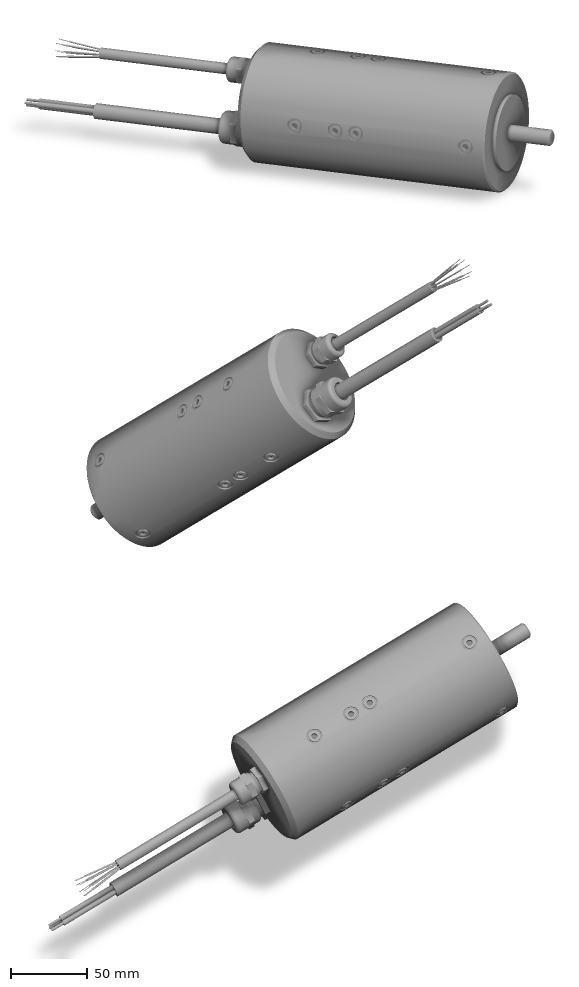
import cadquery as cq
import math


overall_length = 373

housing_dia = 80.0
housing_length = 176.0
rear_chamfer = 3.5
front_chamfer = 1.0
pilot_dia = 50.7
pilot_height = 2.5
shaft_dia = 11.0
shaft_tip = 208.0
shaft_chamfer = 1.0

screw_stations = (41.8, 70.5, 85.0, 163.0)
screws_around = 4
recess_dia = 10.5
recess_depth = 1.0
head_dia = 7.5
socket_dia = 4.0
socket_depth = 2.2

cable_offset = 20.0

locknut_thickness = 3.7
nut_rounding = 2.2
nut_rear_chamfer = 1.0
mouth_depth = 2.2

power_jacket_dia = 10.5
power_jacket_end = -115.3
power_insulation_dia = 3.5
power_insulation_end = -156.0
power_conductor_dia = 1.8
power_conductor_end = shaft_tip - overall_length
power_wire_count = 3
power_wire_circle_radius = 2.05
power_wire_turn = math.radians(50)

signal_jacket_dia = 7.5
signal_jacket_end = -112.0
signal_insulation_dia = 1.0
signal_insulation_end = -134.5
signal_conductor_dia = 0.5
signal_conductor_end = -141.7
signal_wire_count = 8
signal_ring_radius_at_jacket = 2.5
signal_ring_radius_at_tip = 6.5

wire_embed = 1.0


def rod(dia, x_start, x_end, y=0, z=0):
    """Cylinder parallel to X."""
    return cq.Workplane("YZ", origin=(x_start, y, z)).circle(dia / 2).extrude(x_end - x_start)


def slanted_rod(dia, start, end):
    """Cylinder between two points."""
    axis = cq.Vector(*end) - cq.Vector(*start)
    return cq.Workplane(cq.Solid.makeCylinder(dia / 2, axis.Length, cq.Vector(*start), axis))


def hexagon(across_flats, turn, x_start, x_end, z):
    """Hexagonal nut parallel to X; at zero turn one corner points up, a turn leans it towards -Y."""
    corner_dia = across_flats / math.cos(math.pi / 6)
    nut = cq.Workplane("YZ").polygon(6, corner_dia).extrude(x_end - x_start)
    return nut.rotate((0, 0, 0), (1, 0, 0), 90 + turn).translate((x_start, 0, z))


def make_housing():
    body = rod(housing_dia, 0, housing_length)
    body = body.faces("<X").chamfer(rear_chamfer)
    body = body.faces(">X").chamfer(front_chamfer)
    pilot = rod(pilot_dia, 0, housing_length + pilot_height)
    shaft = rod(shaft_dia, 0, shaft_tip).faces(">X").chamfer(shaft_chamfer)
    return body.union(pilot).union(shaft)


def make_screw_recess():
    """Cutter for one screw on the +Z side: a ring around the head and the socket in the head."""
    surface = housing_dia / 2
    plane = cq.Workplane("XY", origin=(0, 0, surface - recess_depth))
    ring = plane.circle(recess_dia / 2).circle(head_dia / 2).extrude(2 * recess_depth)
    plane = cq.Workplane("XY", origin=(0, 0, surface - socket_depth))
    socket = plane.circle(socket_dia / 2).extrude(2 * socket_depth)
    return ring.union(socket)


def cut_screws(body):
    recess = make_screw_recess()
    for x in screw_stations:
        for index in range(screws_around):
            angle = index * 360 / screws_around
            body = body.cut(recess.translate((x, 0, 0)).rotate((0, 0, 0), (1, 0, 0), angle))
    return body


def make_gland(z, nut_dia, nut_start, nut_end, mouth_dia, neck_dia, hex_start, hex_end, turn):
    """Round cap nut with a hexagon collar, on a neck held by a locknut of the same size."""
    nut = rod(nut_dia, nut_start, nut_end, z=z).faces("<X").edges().fillet(nut_rounding)
    nut = nut.faces(">X").chamfer(nut_rear_chamfer)
    nut = nut.cut(rod(mouth_dia, nut_start, nut_start + mouth_depth, z=z))
    collar = hexagon(nut_dia, turn, hex_start, hex_end, z)
    neck = rod(neck_dia, hex_end, 0, z=z)
    locknut = hexagon(nut_dia, turn, -locknut_thickness, 0, z)
    return nut.union(collar).union(neck).union(locknut)


def make_power_cable():
    z_axis = -cable_offset
    cable = rod(power_jacket_dia, power_jacket_end, 0, z=z_axis)
    for index in range(power_wire_count):
        angle = power_wire_turn + index * 2 * math.pi / power_wire_count
        y = power_wire_circle_radius * math.cos(angle)
        z = z_axis + power_wire_circle_radius * math.sin(angle)
        insulation_start = power_jacket_end + wire_embed
        conductor_start = power_insulation_end + wire_embed
        cable = cable.union(rod(power_insulation_dia, power_insulation_end, insulation_start, y, z))
        cable = cable.union(rod(power_conductor_dia, power_conductor_end, conductor_start, y, z))
    return cable


def signal_wire_point(x, angle):
    """Point at X on the axis of the signal wire at the given angle around the fan."""
    spread = (x - signal_jacket_end) / (signal_conductor_end - signal_jacket_end)
    growth = signal_ring_radius_at_tip - signal_ring_radius_at_jacket
    radius = signal_ring_radius_at_jacket + spread * growth
    return (x, radius * math.cos(angle), cable_offset + radius * math.sin(angle))


def make_signal_cable():
    cable = rod(signal_jacket_dia, signal_jacket_end, 0, z=cable_offset)
    for index in range(signal_wire_count):
        angle = index * 2 * math.pi / signal_wire_count
        root = signal_wire_point(signal_jacket_end + wire_embed, angle)
        bared = signal_wire_point(signal_insulation_end, angle)
        buried = signal_wire_point(signal_insulation_end + wire_embed, angle)
        tip = signal_wire_point(signal_conductor_end, angle)
        cable = cable.union(slanted_rod(signal_insulation_dia, root, bared))
        cable = cable.union(slanted_rod(signal_conductor_dia, buried, tip))
    return cable


power_gland = make_gland(
    z=-cable_offset, nut_dia=22.0, nut_start=-25.0, nut_end=-6.5,
    mouth_dia=13.0, neck_dia=18.3, hex_start=-16.0, hex_end=-12.0, turn=4,
)
signal_gland = make_gland(
    z=cable_offset, nut_dia=17.0, nut_start=-20.5, nut_end=-5.2,
    mouth_dia=11.0, neck_dia=14.0, hex_start=-12.5, hex_end=-8.2, turn=10,
)

result = cut_screws(make_housing())
for component in (power_gland, signal_gland, make_power_cable(), make_signal_cable()):
    result = result.union(component)